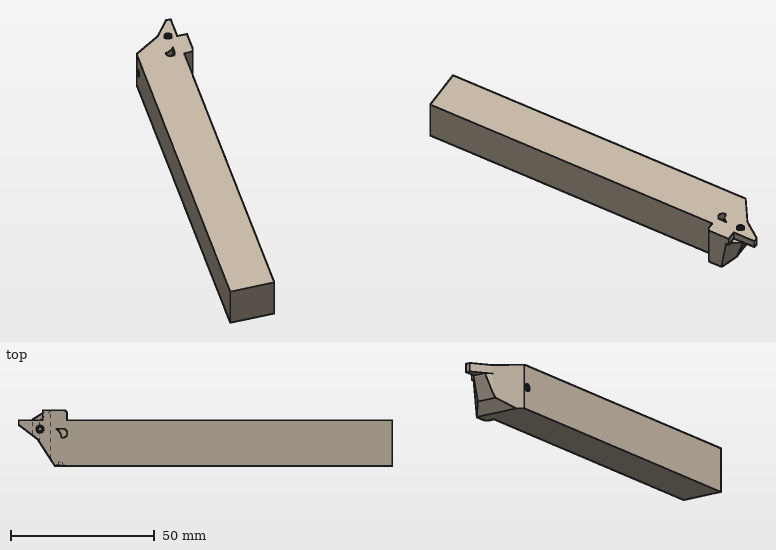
import cadquery as cq

LENGTH = 130.0
SHANK = 16.0
TOTAL_WIDTH = 19.5

INSERT_THICKNESS = 3.1
TIP_WIDTH = 1.7
SEAT_Z = SHANK - INSERT_THICKNESS

INSERT_FLANK_END = (5.8, 9.9)
FLANK_END = (6.6, 9.2)
HEEL_X = 12.6
HEAD_FRONT_X = 8.3
HEAD_BACK_X = 16.9
HEAD_CORNER_RADIUS = 1.3

NOSE_X = 4.7
NOSE_Y = 10.9
NOSE_LAND = 0.6
NOSE_FOOT = (7.2, 4.0)
BEVEL_END_X = 11.0

RELIEF_RUN = 5.8
RELIEF_SLOPE = 0.65
STEEP_SLOPE = 1.0
STEEP_BASE_X = 7.8
STEEP_SEAT_X = 5.8

RECESS_NEAR_Y = 9.9
RECESS_FAR_Y = 13.0
RECESS_RADIUS = (RECESS_FAR_Y - RECESS_NEAR_Y) / 2
RECESS_START_X = 13.0
RECESS_NEAR_X = 15.0
RECESS_ARC_MID = (14.4, 11.6)

INSERT_SCREW = (7.4, 12.9)
SIDE_SCREW = (14.4, 8.0)
SOCKET_DIAMETER = 2.6
SOCKET_CORE_DIAMETER = 1.4
SOCKET_DEPTH = 0.6
SOCKET_CORE_DEPTH = 1.5


def upper_layer():
    """Insert and clamping head at the level of the insert."""
    outline = [
        (0, SHANK - TIP_WIDTH), INSERT_FLANK_END, FLANK_END, (HEEL_X, 0), (LENGTH, 0), (LENGTH, SHANK),
        (HEAD_BACK_X, SHANK), (HEAD_BACK_X, TOTAL_WIDTH), (HEAD_FRONT_X, TOTAL_WIDTH),
        (HEAD_FRONT_X, SHANK), (0, SHANK),
    ]
    return cq.Workplane("XY", origin=(0, 0, SEAT_Z)).polyline(outline).close().extrude(INSERT_THICKNESS)


def raked_cutter(edge_x_at_base, edge_x_at_seat, slope):
    """Cutter whose far wall starts at the shank side and leaves it at the given plan slope."""
    far_y = SHANK + RELIEF_RUN * slope

    def section(edge_x):
        return [(edge_x, SHANK), (edge_x + RELIEF_RUN, far_y), (0, far_y), (0, SHANK)]

    cutter = cq.Workplane("XY").polyline(section(edge_x_at_base)).close()
    cutter = cutter.workplane(offset=SEAT_Z).polyline(section(edge_x_at_seat)).close()
    return cutter.loft(ruled=True)


def nose_relief():
    """Shallow wall along the raked nose, turning into a steeper wall farther out."""
    rake = (NOSE_FOOT[0] - NOSE_X) / (SEAT_Z - NOSE_LAND - NOSE_FOOT[1])
    base_x = NOSE_FOOT[0] + rake * NOSE_FOOT[1]
    shallow = raked_cutter(base_x, base_x - rake * SEAT_Z, RELIEF_SLOPE)
    steep = raked_cutter(STEEP_BASE_X, STEEP_SEAT_X, STEEP_SLOPE)
    return shallow.intersect(steep)


def lower_layer():
    """Shank and insert support, trimmed by the nose profile."""
    outline = [
        (NOSE_X, NOSE_Y), FLANK_END, (HEEL_X, 0), (LENGTH, 0), (LENGTH, SHANK),
        (HEAD_BACK_X, SHANK), (HEAD_BACK_X, TOTAL_WIDTH), (NOSE_X, TOTAL_WIDTH),
    ]
    profile = [
        (NOSE_X, SEAT_Z), (NOSE_X, SEAT_Z - NOSE_LAND), NOSE_FOOT, (BEVEL_END_X, 0),
        (LENGTH, 0), (LENGTH, SEAT_Z),
    ]
    plan = cq.Workplane("XY").polyline(outline).close().extrude(SEAT_Z)
    side = cq.Workplane("XZ").polyline(profile).close().extrude(-TOTAL_WIDTH)
    return plan.intersect(side).cut(nose_relief())


def insert_recess():
    """Round-ended recess between the back of the insert and its pocket."""
    center_x = HEAD_BACK_X - RECESS_RADIUS
    center_y = RECESS_NEAR_Y + RECESS_RADIUS
    return (
        cq.Workplane("XY", origin=(0, 0, SEAT_Z))
        .moveTo(RECESS_START_X, RECESS_FAR_Y)
        .lineTo(center_x, RECESS_FAR_Y)
        .threePointArc((HEAD_BACK_X, center_y), (center_x, RECESS_NEAR_Y))
        .lineTo(RECESS_NEAR_X, RECESS_NEAR_Y)
        .threePointArc(RECESS_ARC_MID, (RECESS_START_X, RECESS_FAR_Y))
        .close()
        .extrude(INSERT_THICKNESS)
    )


def stepped_socket(plane):
    """Two-step blind bore going inward from the given plane."""
    bore = cq.Workplane(plane).circle(SOCKET_DIAMETER / 2).extrude(-SOCKET_DEPTH)
    core = cq.Workplane(plane).circle(SOCKET_CORE_DIAMETER / 2).extrude(-SOCKET_CORE_DEPTH)
    return bore.union(core)


body = lower_layer().union(upper_layer())
body = body.clean().edges("|Z").edges(">Y").edges(">X").fillet(HEAD_CORNER_RADIUS)

top_plane = cq.Plane.XY(origin=(*INSERT_SCREW, SHANK))
side_plane = cq.Plane.XZ(origin=(SIDE_SCREW[0], 0, SIDE_SCREW[1]))
result = body.cut(insert_recess()).cut(stepped_socket(top_plane)).cut(stepped_socket(side_plane))